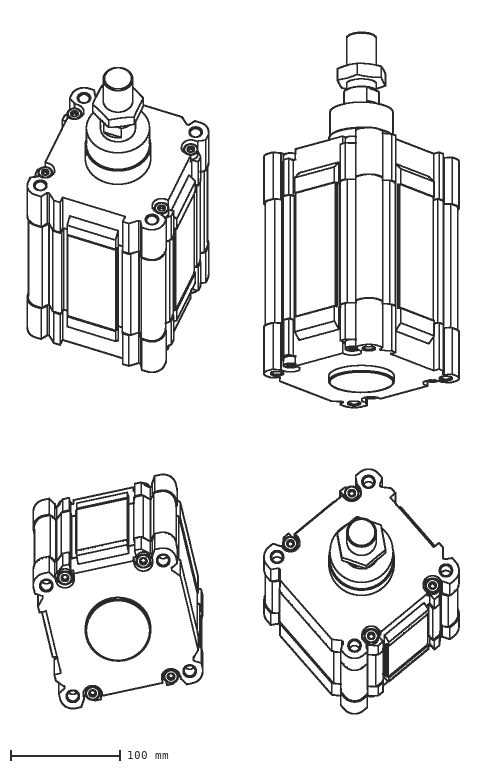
import cadquery as cq
import math

total_height = 335.0
pilot_height = 6.0
case_height = 210.5
cap_height = 45.2
lower_collar_height = 20.8
upper_collar_height = 24.5
shoulder_height = 19.5
flat_height = 13.5
nut_bottom = 289.5
nut_height = 12.7

case_top = pilot_height + case_height
case_middle = pilot_height + case_height / 2
cap_bottom = case_top - cap_height
barrel_bottom = pilot_height + cap_height
barrel_height = case_height - 2 * cap_height
collar_top = case_top + lower_collar_height + upper_collar_height
shoulder_top = collar_top + shoulder_height

case_half = 67.0
barrel_inset = 1.0
barrel_half = case_half - barrel_inset
corner_centre = 55.0
recess_floor = 60.5
groove_floor_inner = 44.0
groove_floor_outer = 46.0
barrel_groove_floor_outer = 44.5
cap_groove_inner = 37.0
cap_groove_outer = 49.5
barrel_groove_inner = 38.5
barrel_groove_outer = 48.5
barrel_groove_lip = 1.0
barrel_recess_floor = 60.3
cap_recess_half_width = 30.8
barrel_recess_half_width = 29.8

pad_half_width = 23.8
pad_slope_start = 24.0
pad_lip = 1.0
pad_lip_depth = 1.0
recess_angles = (0, 90, 270)
side_angles = (0, 90, 180, 270)

corner_hole_diameter = 10.0
corner_sink_diameter = 12.0
corner_hole_depth = 20.0
screw_x = 57.3
screw_y = 37.0
counterbore_diameter = 17.0
counterbore_depth = 10.0
screw_head_diameter = 13.0
screw_head_height = 7.0
screw_head_chamfer_width = 0.7
screw_head_chamfer_height = 0.5
socket_diameter = 5.0
socket_sink_diameter = 6.7
socket_depth = 3.5
drill_half_angle = 59.0

lower_collar_diameter = 60.0
upper_collar_diameter = 58.0
collar_chamfer = (lower_collar_diameter - upper_collar_diameter) / 2
rod_diameter = 32.0
thread_diameter = 27.0
thread_end_diameter = 24.8
thread_chamfer = (thread_diameter - thread_end_diameter) / 2
nut_sides = 6
nut_across_flats = 41.0
nut_face_diameter = 40.0
nut_chamfer_angle = 15.0


def cylinder(diameter, height, bottom):
    return cq.Workplane("XY").workplane(offset=bottom).circle(diameter / 2).extrude(height)


def around(shape, angle):
    return shape.rotate((0, 0, 0), (0, 0, 1), angle)


def prism(points, bottom, height):
    return cq.Workplane("XY").workplane(offset=bottom).polyline(points).close().extrude(height)


def drilled_hole(diameter, sink_diameter, depth):
    """Cutter at the origin for a blind hole with a 45 degree countersink and a conical bottom."""
    radius = diameter / 2
    sink_radius = sink_diameter / 2
    sink_depth = sink_radius - radius
    tip_depth = depth + radius / math.tan(math.radians(drill_half_angle))
    outline = [(0, 0), (sink_radius, 0), (radius, -sink_depth), (radius, -depth), (0, -tip_depth)]
    return cq.Workplane("XZ").polyline(outline).close().revolve(360, (0, 0, 0), (0, 1, 0))


def make_screw_head(bottom):
    """Cylindrical head on the Z axis with a flat rim chamfer and a round countersunk socket."""
    head = cylinder(screw_head_diameter, screw_head_height, bottom)
    head = head.faces(">Z").edges().chamfer(screw_head_chamfer_height, screw_head_chamfer_width)
    socket = drilled_hole(socket_diameter, socket_sink_diameter, socket_depth)
    return head.cut(socket.translate((0, 0, bottom + screw_head_height)))


def rounded_block(half, bottom, height):
    block = cq.Workplane("XY").workplane(offset=bottom).rect(2 * half, 2 * half).extrude(height)
    return block.edges("|Z").fillet(half - corner_centre)


def cut_grooves(block, groove, bottom, height):
    """Cut the groove beside both corners of all four sides."""
    cutter = prism(groove, bottom, height)
    pair = cutter.union(cutter.mirror("YZ"))
    for angle in side_angles:
        block = block.cut(around(pair, angle))
    return block


def cut_recesses(block, half_width, half, floor, bottom, height):
    """Cut the wide middle recess of three sides; the +Y side stays flat."""
    outline = [(-half_width, -half), (half_width, -half), (half_width, -floor), (-half_width, -floor)]
    recess = prism(outline, bottom, height)
    for angle in recess_angles:
        block = block.cut(around(recess, angle))
    return block


def make_cap_pad():
    """Pad on the -Y side of the upper cap, with a 45 degree upper end."""
    pad_top = case_top - pad_slope_start
    slope = case_half - recess_floor
    outline = [
        (-recess_floor, cap_bottom),
        (-case_half, cap_bottom),
        (-case_half, pad_top - slope),
        (-recess_floor, pad_top),
    ]
    return cq.Workplane("YZ").polyline(outline).close().extrude(pad_half_width, both=True)


def make_barrel_pad():
    """Pad on the -Y side of the barrel, with a chamfered lip along both edges."""
    lip_half_width = pad_half_width + pad_lip
    lip_outer = barrel_half - pad_lip
    lip_inner = lip_outer - pad_lip_depth
    right = [
        (pad_half_width, -barrel_recess_floor),
        (pad_half_width, -lip_inner),
        (lip_half_width, -lip_inner),
        (lip_half_width, -lip_outer),
        (pad_half_width, -barrel_half),
    ]
    left = [(-x, y) for x, y in reversed(right)]
    return prism(right + left, barrel_bottom, barrel_height)


def make_counterbore(floor):
    """Cutter for a round counterbore at the origin that opens out through the side in +X."""
    opening = cq.Workplane("XY").workplane(offset=floor).rect(case_half, counterbore_diameter)
    opening = opening.extrude(counterbore_depth).translate((case_half / 2, 0, 0))
    return cylinder(counterbore_diameter, counterbore_depth, floor).union(opening)


def make_upper_cap():
    groove = [
        (cap_groove_inner, -case_half),
        (groove_floor_inner, -recess_floor),
        (groove_floor_outer, -recess_floor),
        (cap_groove_outer, -case_half),
    ]
    cap = rounded_block(case_half, cap_bottom, cap_height)
    cap = cut_grooves(cap, groove, cap_bottom, cap_height)
    cap = cut_recesses(cap, cap_recess_half_width, case_half, recess_floor, cap_bottom, cap_height)
    for angle in recess_angles:
        cap = cap.union(around(make_cap_pad(), angle))

    counterbore_floor = case_top - counterbore_depth
    counterbore = make_counterbore(counterbore_floor)
    head = make_screw_head(counterbore_floor)
    corner_hole = drilled_hole(corner_hole_diameter, corner_sink_diameter, corner_hole_depth)
    for side_x in (-1, 1):
        for side_y in (-1, 1):
            x = side_x * screw_x
            y = side_y * screw_y
            outward_angle = 0 if side_x > 0 else 180
            cap = cap.cut(around(counterbore, outward_angle).translate((x, y, 0)))
            cap = cap.union(head.translate((x, y, 0)))
            cap = cap.cut(corner_hole.translate((side_x * corner_centre, side_y * corner_centre, case_top)))
    return cap


def make_barrel():
    groove = [
        (barrel_groove_inner, -barrel_half),
        (groove_floor_inner, -recess_floor),
        (barrel_groove_floor_outer, -recess_floor),
        (barrel_groove_outer - barrel_groove_lip, -barrel_half + barrel_groove_lip),
        (barrel_groove_outer, -barrel_half),
    ]
    barrel = rounded_block(barrel_half, barrel_bottom, barrel_height)
    barrel = cut_grooves(barrel, groove, barrel_bottom, barrel_height)
    barrel = cut_recesses(
        barrel, barrel_recess_half_width, barrel_half, barrel_recess_floor, barrel_bottom, barrel_height
    )
    for angle in recess_angles:
        barrel = barrel.union(around(make_barrel_pad(), angle))
    return barrel


def make_housing():
    """Barrel between two mirrored caps, with a pilot boss below and a stepped collar above."""
    upper_cap = make_upper_cap()
    lower_cap = upper_cap.mirror("XY", (0, 0, case_middle))
    pilot = cylinder(lower_collar_diameter, pilot_height, 0).faces("<Z").chamfer(collar_chamfer)
    lower_collar = cylinder(lower_collar_diameter, lower_collar_height, case_top)
    lower_collar = lower_collar.faces(">Z").chamfer(collar_chamfer)
    upper_collar = cylinder(upper_collar_diameter, upper_collar_height, case_top + lower_collar_height)
    housing = make_barrel().union(upper_cap).union(lower_cap)
    return housing.union(pilot).union(lower_collar).union(upper_collar)


def make_rod():
    """Rod end on top of the collar: shoulder with two wrench flats, then the threaded end."""
    rod = cylinder(rod_diameter, shoulder_height, collar_top)
    flat_bottom = shoulder_top - flat_height
    across = cq.Workplane("XY").workplane(offset=flat_bottom).rect(rod_diameter, thread_diameter)
    flats = across.extrude(flat_height)
    cutter = cylinder(2 * rod_diameter, flat_height, flat_bottom).cut(flats)
    rod = rod.cut(cutter)
    thread = cylinder(thread_diameter, total_height - shoulder_top, shoulder_top)
    return rod.union(thread.faces("<Z or >Z").chamfer(thread_chamfer))


def make_nut():
    """Hexagon nut on the thread with two faces square to X and conical corner chamfers."""
    half_sector = 180 / nut_sides
    corner_radius = nut_across_flats / 2 / math.cos(math.radians(half_sector))
    face_radius = nut_face_diameter / 2
    drop = (corner_radius - face_radius) * math.tan(math.radians(nut_chamfer_angle))
    hexagon = cq.Workplane("XY").polygon(nut_sides, 2 * corner_radius).extrude(nut_height)
    hexagon = around(hexagon, half_sector)
    outline = [
        (0, 0),
        (face_radius, 0),
        (corner_radius, drop),
        (corner_radius, nut_height - drop),
        (face_radius, nut_height),
        (0, nut_height),
    ]
    envelope = cq.Workplane("XZ").polyline(outline).close().revolve(360, (0, 0, 0), (0, 1, 0))
    bore = cylinder(thread_diameter, nut_height, 0)
    return hexagon.intersect(envelope).cut(bore).translate((0, 0, nut_bottom))


housing = make_housing()
rod = make_rod()
nut = make_nut()

result = cq.Compound.makeCompound([housing.solids().val(), rod.solids().val(), nut.solids().val()])